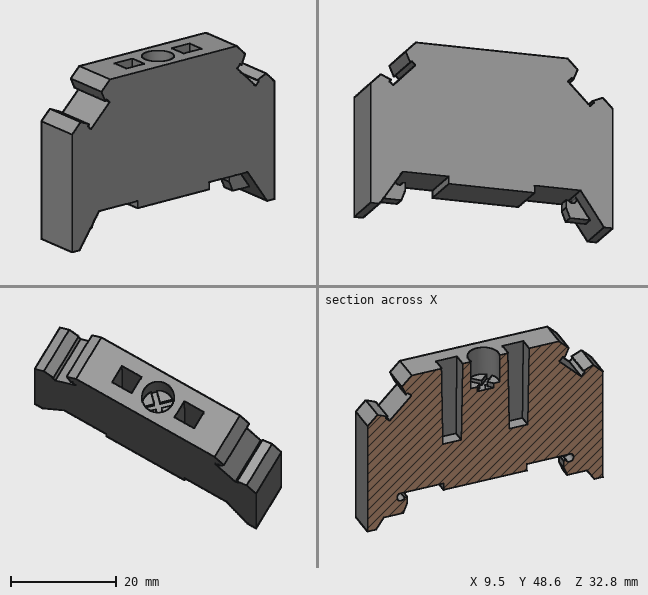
import cadquery as cq
import math

WIDTH = 9.5
LENGTH = 48.6
HEIGHT = 32.8
HALF_LENGTH = LENGTH / 2

CORNER_CUT = 9.1
JAW_TIP = (7.05, 2.05)
LIP_TIP = (7.95, 4.13)
LIP_ROOT = (8.25, 3.8)
SEAT_END = (9.0, 4.55)

RECESS_HEIGHT = 6.85
FOOT_LENGTH = 1.8
RECESS_INSET = 6.5
PAD_LENGTH = 17.2
PAD_DROP = 1.45

HOOK_WIDTH = 2.6
HOOK_BOTTOM = 2.3
HOOK_TOP = 5.8
HOOK_BEVEL_HEIGHT = 2.0
HOOK_BEVEL = 0.8
HOOK_INSET = 8.2
HOOK_RELIEF_RADIUS = 0.78

SCREW_DIAMETER = 6.1
SCREW_DEPTH = 6.0
SCREW_SLOT_WIDTH = 1.1
SCREW_SLOT_DEPTH = 1.0
SCREW_SLOT_ANGLES = (45, 135)

POCKET_SIZE_X = 3.7
POCKET_SIZE_Y = 4.3
POCKET_DEPTH = 17.0
POCKET_DRAFT_ANGLE = 1.0
POCKET_INSET = POCKET_DEPTH * math.tan(math.radians(POCKET_DRAFT_ANGLE))
POCKET_OFFSET = 6.85


def extrude_profile(points, width):
    """Extrude a (Y, Z) outline symmetrically about X = 0."""
    return cq.Workplane("YZ").polyline(points).close().extrude(width / 2, both=True)


def make_body():
    """Full-width block with stepped upper corners and a recessed underside."""
    steps = [(CORNER_CUT, 0), JAW_TIP, LIP_TIP, LIP_ROOT, SEAT_END]
    corner = steps + [(drop, inset) for inset, drop in reversed(steps)]
    half = [(HALF_LENGTH - inset, HEIGHT - drop) for inset, drop in corner]
    half += [
        (HALF_LENGTH, 0),
        (HALF_LENGTH - FOOT_LENGTH, 0),
        (HALF_LENGTH - RECESS_INSET, RECESS_HEIGHT),
        (PAD_LENGTH / 2, RECESS_HEIGHT),
        (PAD_LENGTH / 2, RECESS_HEIGHT - PAD_DROP),
    ]
    other_half = [(-y, z) for y, z in reversed(half)]
    return extrude_profile(half + other_half, WIDTH)


def make_hook():
    """Hook of the +Y leg, relieved by a round groove tangent to the recess and the slope."""
    slope_angle = math.atan2(RECESS_HEIGHT, RECESS_INSET - FOOT_LENGTH)
    corner_angle = math.pi - slope_angle
    tangent_length = HOOK_RELIEF_RADIUS / math.tan(corner_angle / 2)
    corner_y = HALF_LENGTH - RECESS_INSET
    relief_y = corner_y - tangent_length
    relief_z = RECESS_HEIGHT - HOOK_RELIEF_RADIUS
    tangent_point = (
        corner_y + tangent_length * math.cos(slope_angle),
        RECESS_HEIGHT - tangent_length * math.sin(slope_angle),
    )
    tip_y = HALF_LENGTH - HOOK_INSET
    outline = [
        tangent_point,
        (relief_y, relief_z),
        (relief_y, HOOK_TOP),
        (tip_y, HOOK_TOP),
        (tip_y, HOOK_BOTTOM + HOOK_BEVEL_HEIGHT),
        (tip_y + HOOK_BEVEL, HOOK_BOTTOM),
        (HALF_LENGTH - FOOT_LENGTH, HOOK_BOTTOM),
        (HALF_LENGTH - FOOT_LENGTH, tangent_point[1]),
    ]
    relief = (
        cq.Workplane("YZ")
        .center(relief_y, relief_z)
        .circle(HOOK_RELIEF_RADIUS)
        .extrude(HOOK_WIDTH / 2, both=True)
    )
    return extrude_profile(outline, HOOK_WIDTH).cut(relief)


def make_screw_hole():
    """Round hole from the top with a cross slot sunk into its floor."""
    floor = HEIGHT - SCREW_DEPTH
    hole = cq.Workplane("XY", origin=(0, 0, floor)).circle(SCREW_DIAMETER / 2).extrude(SCREW_DEPTH)
    slot_plane = cq.Workplane("XY", origin=(0, 0, floor - SCREW_SLOT_DEPTH))
    slot_limit = slot_plane.circle(SCREW_DIAMETER / 2).extrude(SCREW_SLOT_DEPTH)
    for angle in SCREW_SLOT_ANGLES:
        slot = slot_plane.rect(SCREW_DIAMETER, SCREW_SLOT_WIDTH).extrude(SCREW_SLOT_DEPTH)
        slot = slot.rotate((0, 0, 0), (0, 0, 1), angle)
        hole = hole.union(slot.intersect(slot_limit))
    return hole


def make_pocket(centre_y):
    """Rectangular pocket narrowing evenly from the top face to its floor."""
    return (
        cq.Workplane("XY", origin=(0, centre_y, HEIGHT))
        .rect(POCKET_SIZE_X, POCKET_SIZE_Y)
        .workplane(offset=-POCKET_DEPTH)
        .rect(POCKET_SIZE_X - 2 * POCKET_INSET, POCKET_SIZE_Y - 2 * POCKET_INSET)
        .loft(ruled=True)
    )


hook = make_hook()
result = make_body().union(hook).union(hook.mirror("XZ")).cut(make_screw_hole())
for pocket_y in (-POCKET_OFFSET, POCKET_OFFSET):
    result = result.cut(make_pocket(pocket_y))